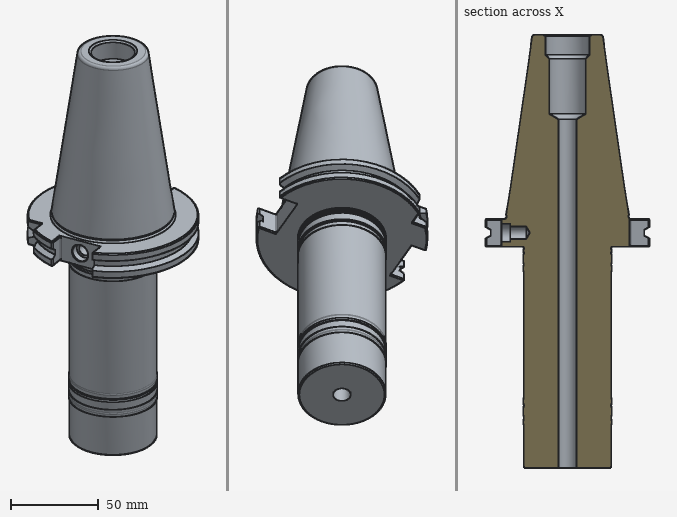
import cadquery as cq
import math


gauge_diameter = 69.85
taper_length = 101.6
taper_rate = 7 / 24
taper_top_fillet = 2.0
taper_top_radius = (gauge_diameter - taper_rate * taper_length) / 2

undercut_top = -1.0
undercut_root_z = -2.0
undercut_diameter = 69.2
undercut_foot_diameter = 71.4

flange_diameter = 97.5
flange_top = -3.2
flange_bottom = -19.1
flange_rim_chamfer = 0.7
groove_z = -11.1
groove_mouth_width = 7.0
groove_floor_diameter = 91.0
groove_flank_angle = 30

slot_width = 25.7
slot_floor_front = 37.6
slot_floor_back = 35.3
slot_corner_chamfer = 0.84
notch_offset = 30.0
inner_corner_fillet = 0.6

side_hole_diameter = 7.0
counterbore_diameter = 10.11
counterbore_depth = 5.0
side_hole_mouth_diameter = 10.8
side_hole_depth = 14.0
drill_point_angle = 118

shank_diameter = 50.0
shank_bottom = -145.0
shank_end_chamfer = 0.8
band_diameter = 50.5
band_lead_in = 0.8
upper_bands = [(-28.4, flange_bottom), (-33.0, -29.9)]
lower_bands = [(-115.3, -105.0), (-119.9, -117.2)]
v_groove_depth = 0.5
neck_groove_width = 1.5
neck_grooves = [-20.0, -22.7]
seal_groove_width = 2.2
seal_groove = -109.3

through_diameter = 10.0
mouth_diameter = 27.5
mouth_chamfer_depth = 1.0
pilot_diameter = 25.0
pilot_depth = 11.5
thread_diameter = 20.75
thread_depth = 45.0


def revolved(outline):
    """Body of revolution about Z from a closed (radius, z) outline."""
    return cq.Workplane("XZ").polyline(outline).close().revolve(360, (0, 0), (0, 1))


def cylinder(diameter, bottom, top):
    return cq.Workplane("XY").workplane(offset=bottom).circle(diameter / 2).extrude(top - bottom)


def cone(bottom_diameter, top_diameter, bottom, top):
    height = top - bottom
    return cq.Workplane(
        cq.Solid.makeCone(bottom_diameter / 2, top_diameter / 2, height, cq.Vector(0, 0, bottom))
    )


def make_taper():
    gauge_radius = gauge_diameter / 2
    outline = [
        (0, flange_top),
        (undercut_foot_diameter / 2, flange_top),
        (undercut_diameter / 2, undercut_root_z),
        (gauge_radius - taper_rate * undercut_top / 2, undercut_top),
        (taper_top_radius, taper_length),
        (0, taper_length),
    ]
    return revolved(outline).faces(">Z").edges().fillet(taper_top_fillet)


def make_flange():
    rim = flange_diameter / 2
    floor = groove_floor_diameter / 2
    half_mouth = groove_mouth_width / 2
    half_floor = half_mouth - (rim - floor) * math.tan(math.radians(groove_flank_angle))
    outline = [
        (0, flange_bottom),
        (rim - flange_rim_chamfer, flange_bottom),
        (rim, flange_bottom + flange_rim_chamfer),
        (rim, groove_z - half_mouth),
        (floor, groove_z - half_floor),
        (floor, groove_z + half_floor),
        (rim, groove_z + half_mouth),
        (rim, flange_top - flange_rim_chamfer),
        (rim - flange_rim_chamfer, flange_top),
        (0, flange_top),
    ]
    return revolved(outline)


def slot_cutter(floor_distance, side):
    """Drive slot on the -Y (side = -1) or +Y (side = 1) side, its top, bottom and outer edges chamfered."""
    half = slot_width / 2
    wide = half + flange_rim_chamfer
    profile = [
        (wide, flange_bottom),
        (half, flange_bottom + flange_rim_chamfer),
        (half, flange_top - flange_rim_chamfer),
        (wide, flange_top),
    ]
    profile += [(-x, z) for x, z in reversed(profile)]
    slot = cq.Workplane("XZ", origin=(0, -floor_distance, 0)).polyline(profile).close()
    slot = slot.extrude(flange_diameter / 2)
    slot = slot.edges("|Z").edges(">Y").fillet(inner_corner_fillet)

    corner_y = math.sqrt((flange_diameter / 2) ** 2 - (half + slot_corner_chamfer) ** 2)
    start_y = corner_y - slot_corner_chamfer
    flare = half + flange_diameter - start_y
    outline = [(-half, -start_y), (half, -start_y), (flare, -flange_diameter), (-flare, -flange_diameter)]
    base = cq.Workplane("XY").workplane(offset=flange_bottom)
    slot = slot.union(base.polyline(outline).close().extrude(flange_top - flange_bottom))
    return slot if side < 0 else slot.mirror("XZ")


def notch_cutter():
    """Square notch across the rim, its top and bottom edges chamfered."""
    size = flange_diameter / 2
    center = -notch_offset - size / 2

    def square(z):
        return cq.Workplane("XY", origin=(center, center, z)).rect(size, size)

    notch = square(flange_bottom).extrude(flange_top - flange_bottom)
    notch = notch.edges("|Z").edges(">X and >Y").fillet(inner_corner_fillet)
    flare_top = square(flange_top - flange_rim_chamfer).extrude(flange_rim_chamfer, taper=-45)
    flare_bottom = square(flange_bottom + flange_rim_chamfer).extrude(-flange_rim_chamfer, taper=-45)
    return notch.union(flare_top).union(flare_bottom)


def side_hole_cutter():
    radius = side_hole_diameter / 2
    counterbore = counterbore_diameter / 2
    mouth = side_hole_mouth_diameter / 2
    point = radius / math.tan(math.radians(drill_point_angle / 2))
    outline = [
        (0, 0),
        (mouth, 0),
        (counterbore, mouth - counterbore),
        (counterbore, counterbore_depth),
        (radius, counterbore_depth),
        (radius, side_hole_depth),
        (0, side_hole_depth + point),
    ]
    axis_plane = cq.Workplane("XY", origin=(0, -slot_floor_front, groove_z))
    return axis_plane.polyline(outline).close().revolve(360, (0, 0), (0, 1))


def v_groove_cutter(root_z, width):
    outer = band_diameter / 2
    outline = [
        (outer - v_groove_depth, root_z),
        (outer, root_z - width / 2),
        (flange_diameter, root_z - width / 2),
        (flange_diameter, root_z + width / 2),
        (outer, root_z + width / 2),
    ]
    return revolved(outline)


def make_shank():
    shank = cylinder(shank_diameter, shank_bottom, flange_bottom)
    shank = shank.faces("<Z").chamfer(shank_end_chamfer)
    for bottom, top in upper_bands:
        shank = shank.union(cylinder(band_diameter, bottom, top))
    for bottom, top in lower_bands:
        shank = shank.union(cylinder(band_diameter, bottom, top - band_lead_in))
        shank = shank.union(cone(band_diameter, shank_diameter, top - band_lead_in, top))
    for root_z in neck_grooves:
        shank = shank.cut(v_groove_cutter(root_z, neck_groove_width))
    return shank.cut(v_groove_cutter(seal_groove, seal_groove_width))


def bore_cutter():
    through = through_diameter / 2
    thread = thread_diameter / 2
    pilot = pilot_diameter / 2
    pilot_bottom = taper_length - pilot_depth
    thread_bottom = taper_length - thread_depth
    point_height = (thread - through) / math.tan(math.radians(drill_point_angle / 2))
    outline = [
        (0, shank_bottom),
        (through, shank_bottom),
        (through, thread_bottom - point_height),
        (thread, thread_bottom),
        (thread, pilot_bottom - (pilot - thread)),
        (pilot, pilot_bottom),
        (pilot, taper_length - mouth_chamfer_depth),
        (mouth_diameter / 2, taper_length),
        (0, taper_length),
    ]
    return revolved(outline)


flange = make_flange()
flange = flange.cut(slot_cutter(slot_floor_front, -1))
flange = flange.cut(slot_cutter(slot_floor_back, 1))
flange = flange.cut(notch_cutter())
flange = flange.cut(side_hole_cutter())

result = make_taper().union(flange).union(make_shank()).cut(bore_cutter())